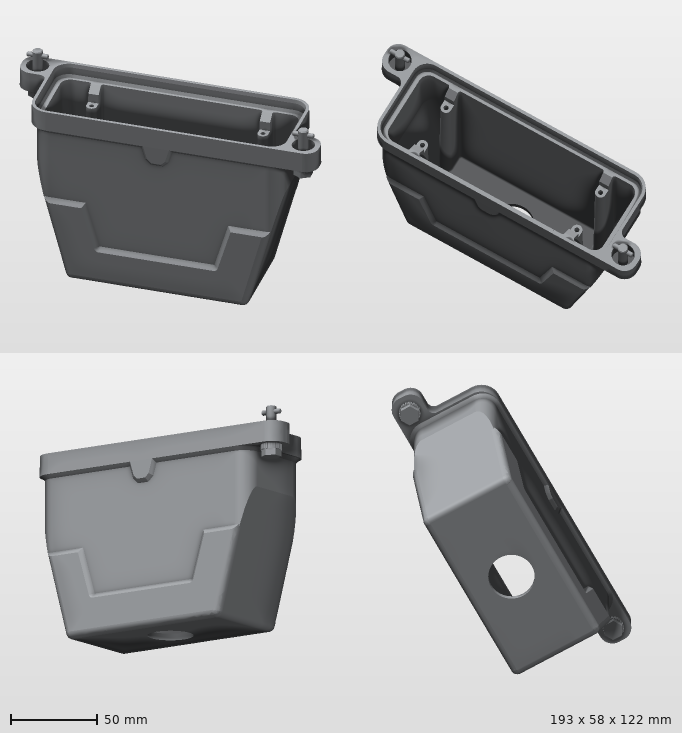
import cadquery as cq
import math

RIM_Z = 111.5
FLANGE_BOTTOM_Z = 99.1
COLLAR_BOTTOM_Z = 96.8
PIN_TOP_Z = 121.95
SLOPE_START_Z = 76.0
APRON_TOP_Z = 52.9
FLOOR_Z = 4.0

FLANGE_LENGTH = 157.0
FLANGE_WIDTH = 58.0
FLANGE_CORNER_R = 11.5
OVERALL_LENGTH = 193.0
FLANGE_DRAFT_ANGLE = 1.0
EAR_WIDTH = 19.4
EAR_CORNER_R = 8.0
EAR_BLEND_R = 4.0
EAR_HOLE_D = 13.5
EAR_FLOOR = 2.0
EAR_Y = (FLANGE_WIDTH - EAR_WIDTH) / 2
SCREW_X = 86.5

BODY_LENGTH = 150.2
BODY_WIDTH = 53.6
BODY_CORNER_R = 9.2
COLLAR_OVERHANG = 2.1
WALL_OVERLAP = 1.0
END_SLOPE_ANGLE = 15.0
END_SLOPE = math.tan(math.radians(END_SLOPE_ANGLE))
APRON_EDGE_R = 4.0
APRON_BOTTOM_R = 3.9
APRON_STEP = (FLANGE_WIDTH - BODY_WIDTH) / 2
BOTTOM_HALF_LENGTH = BODY_LENGTH / 2 - SLOPE_START_Z * END_SLOPE

PANEL_BEVEL_ANGLE = 52.0
PANEL_BOTTOM_Z = 24.7
PANEL_BOTTOM_HALF = 34.8
PANEL_TOP_HALF = 43.2

CATCH_BEVEL_ANGLE = 45.0
CATCH_BOTTOM_Z = 86.2
CATCH_SHOULDER_Z = 89.5
CATCH_TOP_HALF = 10.2
CATCH_SHOULDER_HALF = 7.3
CATCH_BOTTOM_HALF = 3.7

SEAT_Z = 103.0
SEAT_WALL_TOP_Z = 109.2
SEAT_WALL_BOTTOM_Z = 104.7
RIM_THICKNESS = 2.1
SEAT_LEAD_IN = 0.5
SEAT_BEVEL = 1.2
RIM_INNER_R = FLANGE_CORNER_R - RIM_THICKNESS

CAVITY_TOP_HALF_LENGTH = 72.1
CAVITY_TOP_HALF_WIDTH = 23.4
CAVITY_FLOOR_HALF_WIDTH = 22.3
CAVITY_SLOPE_HALF_LENGTH = 70.0
CAVITY_FLOOR_HALF_LENGTH = 52.8
CAVITY_CORNER_R = 6.3
CAVITY_FLOOR_R = 1.0
CABLE_HOLE_D = 27.0

POST_X = 52.0
POST_Y = 13.5
POST_TOP_Z = 93.6
POST_TOP_R = 3.2
POST_DRAFT_ANGLE = 0.65
POST_HOLE_D = 2.9
POST_HOLE_DEPTH = 12.0
RAMP_FOOT_Z = 99.2
RAMP_FOOT_Y = 17.2
RAMP_TOP_Y = 21.8
POST_BLEND_R = 1.5

PIN_D = 6.0
PIN_CHAMFER = 0.6
CROSS_PIN_D = 3.0
CROSS_PIN_LENGTH = 13.0
CROSS_PIN_CHAMFER = 0.5
CROSS_PIN_Z = 118.4
WASHER_D = 12.4
WASHER_HEIGHT = 3.2
WASHER_TEETH = 24
TOOTH_GAP = 0.5
TOOTH_DEPTH = 0.5
HEX_SIDES = 6
HEX_WIDTH = 10.2
HEX_BOTTOM_Z = 92.0


def rounded_rect(half_length, half_width, radius, z):
    """Wire of a rounded rectangle centred on the Z axis."""
    sketch = cq.Sketch().rect(2 * half_length, 2 * half_width).vertices().fillet(radius).reset()
    return sketch.faces().val().outerWire().translate(cq.Vector(0, 0, z))


def ruled_loft(*levels):
    """Stack of straight-sided lofts through (half length, half width, radius, z) levels."""
    wires = [rounded_rect(*level) for level in levels]
    return cq.Workplane(obj=cq.Solid.makeLoft(wires, True))


def with_half_turn_copy(feature):
    """The feature together with its copy turned half a turn about Z."""
    return feature.union(feature.rotate((0, 0, 0), (0, 0, 1), 180))


def beveled_wall_prism(outline, thickness, taper):
    """Prism of an XZ outline standing on the -Y hood wall and growing outward."""
    wall = cq.Workplane("XZ", origin=(0, -BODY_WIDTH / 2, 0))
    return wall.polyline(outline).close().extrude(thickness, taper=taper)


def make_apron():
    """Thick lower shell with sloped ends, cut back to the hood wall where the panels are."""
    top_half_length = BOTTOM_HALF_LENGTH + APRON_TOP_Z * END_SLOPE
    apron = ruled_loft(
        (BOTTOM_HALF_LENGTH, FLANGE_WIDTH / 2, APRON_EDGE_R, 0),
        (top_half_length, FLANGE_WIDTH / 2, APRON_EDGE_R, APRON_TOP_Z),
    )
    apron = apron.faces("<Z").edges().fillet(APRON_BOTTOM_R)
    beyond = BODY_LENGTH
    outline = [
        (-PANEL_BOTTOM_HALF, PANEL_BOTTOM_Z),
        (PANEL_BOTTOM_HALF, PANEL_BOTTOM_Z),
        (PANEL_TOP_HALF, APRON_TOP_Z),
        (beyond, APRON_TOP_Z),
        (beyond, RIM_Z),
        (-beyond, RIM_Z),
        (-beyond, APRON_TOP_Z),
        (-PANEL_TOP_HALF, APRON_TOP_Z),
    ]
    panel = beveled_wall_prism(outline, APRON_STEP, -PANEL_BEVEL_ANGLE)
    return apron.cut(with_half_turn_copy(panel))


def make_upper_walls():
    """Straight hood walls with sloped ends, widening in a collar below the flange."""
    walls = ruled_loft(
        (BODY_LENGTH / 2, BODY_WIDTH / 2, BODY_CORNER_R, APRON_TOP_Z - WALL_OVERLAP),
        (BODY_LENGTH / 2, BODY_WIDTH / 2, BODY_CORNER_R, FLANGE_BOTTOM_Z),
    )
    half = BODY_LENGTH / 2
    profile = [
        (-BOTTOM_HALF_LENGTH, 0),
        (BOTTOM_HALF_LENGTH, 0),
        (half, SLOPE_START_Z),
        (half, RIM_Z),
        (-half, RIM_Z),
        (-half, SLOPE_START_Z),
    ]
    envelope = cq.Workplane("XZ").polyline(profile).close().extrude(BODY_WIDTH, both=True)
    collar = ruled_loft(
        (half, BODY_WIDTH / 2, BODY_CORNER_R, COLLAR_BOTTOM_Z),
        (half + COLLAR_OVERHANG, BODY_WIDTH / 2 + COLLAR_OVERHANG,
         BODY_CORNER_R + COLLAR_OVERHANG, FLANGE_BOTTOM_Z),
    )
    return walls.intersect(envelope).union(collar)


def make_catch():
    """Bevelled catches below the flange on both long sides."""
    outline = [
        (-CATCH_BOTTOM_HALF, CATCH_BOTTOM_Z),
        (CATCH_BOTTOM_HALF, CATCH_BOTTOM_Z),
        (CATCH_SHOULDER_HALF, CATCH_SHOULDER_Z),
        (CATCH_TOP_HALF, FLANGE_BOTTOM_Z),
        (CATCH_TOP_HALF, RIM_Z - APRON_STEP),
        (-CATCH_TOP_HALF, RIM_Z - APRON_STEP),
        (-CATCH_TOP_HALF, FLANGE_BOTTOM_Z),
        (-CATCH_SHOULDER_HALF, CATCH_SHOULDER_Z),
    ]
    catch = beveled_wall_prism(outline, APRON_STEP, CATCH_BEVEL_ANGLE)
    above = cq.Workplane("XY", origin=(0, 0, FLANGE_BOTTOM_Z))
    above = above.rect(FLANGE_LENGTH, FLANGE_WIDTH).extrude(RIM_Z - FLANGE_BOTTOM_Z)
    return with_half_turn_copy(catch.cut(above))


def make_flange():
    """Drafted rim plate with two cupped ears on opposite corners."""
    height = RIM_Z - FLANGE_BOTTOM_Z
    base = cq.Workplane("XY", origin=(0, 0, FLANGE_BOTTOM_Z))
    rim = base.rect(FLANGE_LENGTH, FLANGE_WIDTH).extrude(height).edges("|Z").fillet(FLANGE_CORNER_R)
    inner_x = -FLANGE_LENGTH / 2 + 2 * FLANGE_CORNER_R
    ear_length = inner_x + OVERALL_LENGTH / 2
    ear = base.center(inner_x - ear_length / 2, EAR_Y).rect(ear_length, EAR_WIDTH).extrude(height)
    ear = ear.edges("|Z and <X").fillet(EAR_CORNER_R)
    blank = rim.union(with_half_turn_copy(ear))
    for side in (-1, 1):
        notch = (side * FLANGE_LENGTH / 2, side * (EAR_WIDTH - FLANGE_WIDTH / 2), RIM_Z - height / 2)
        blank = blank.edges(cq.selectors.NearestToPointSelector(notch)).fillet(EAR_BLEND_R)
    outline = blank.faces("<Z").val().outerWire()
    flange = base.newObject([outline]).toPending().extrude(height, taper=FLANGE_DRAFT_ANGLE)
    hole = cq.Workplane("XY", origin=(-SCREW_X, EAR_Y, FLANGE_BOTTOM_Z + EAR_FLOOR))
    hole = hole.circle(EAR_HOLE_D / 2).extrude(height)
    return flange.cut(with_half_turn_copy(hole))


def make_seat():
    """Space of the stepped seat inside the rim."""
    rim_x = FLANGE_LENGTH / 2 - RIM_THICKNESS
    rim_y = FLANGE_WIDTH / 2 - RIM_THICKNESS
    inset = SEAT_LEAD_IN + SEAT_BEVEL
    return ruled_loft(
        (rim_x - inset, rim_y - inset, RIM_INNER_R - inset, SEAT_Z),
        (rim_x - SEAT_LEAD_IN, rim_y - SEAT_LEAD_IN, RIM_INNER_R - SEAT_LEAD_IN, SEAT_WALL_BOTTOM_Z),
        (rim_x - SEAT_LEAD_IN, rim_y - SEAT_LEAD_IN, RIM_INNER_R - SEAT_LEAD_IN, SEAT_WALL_TOP_Z),
        (rim_x, rim_y, RIM_INNER_R, RIM_Z),
    )


def make_post():
    """Drafted post at (+X, +Y) reaching back into the long wall, with a ramp above its top."""
    height = SEAT_Z - FLOOR_Z
    foot_r = POST_TOP_R + (POST_TOP_Z - FLOOR_Z) * math.tan(math.radians(POST_DRAFT_ANGLE))
    back_y = BODY_WIDTH / 2
    post = (
        cq.Workplane("XY", origin=(POST_X, 0, FLOOR_Z))
        .moveTo(-foot_r, back_y)
        .lineTo(-foot_r, POST_Y)
        .threePointArc((0, POST_Y - foot_r), (foot_r, POST_Y))
        .lineTo(foot_r, back_y)
        .close()
        .extrude(height, taper=POST_DRAFT_ANGLE)
    )
    clearance = [
        (0, POST_TOP_Z),
        (RAMP_FOOT_Y, POST_TOP_Z),
        (RAMP_FOOT_Y, RAMP_FOOT_Z),
        (RAMP_TOP_Y, SEAT_Z),
        (0, SEAT_Z),
    ]
    above_post = cq.Workplane("YZ").polyline(clearance).close().extrude(BODY_LENGTH)
    hole = cq.Workplane("XY", origin=(POST_X, POST_Y, POST_TOP_Z))
    hole = hole.circle(POST_HOLE_D / 2).extrude(-POST_HOLE_DEPTH)
    return post.cut(above_post).cut(hole)


def make_cavity():
    """Space inside the hood, narrowing to the floor and leaving room for the screw posts."""
    slope_start_z = FLOOR_Z + (CAVITY_SLOPE_HALF_LENGTH - CAVITY_FLOOR_HALF_LENGTH) / END_SLOPE
    end_profile = [
        (-CAVITY_FLOOR_HALF_WIDTH, FLOOR_Z),
        (CAVITY_FLOOR_HALF_WIDTH, FLOOR_Z),
        (CAVITY_TOP_HALF_WIDTH, SEAT_Z),
        (-CAVITY_TOP_HALF_WIDTH, SEAT_Z),
    ]
    side_profile = [
        (-CAVITY_FLOOR_HALF_LENGTH, FLOOR_Z),
        (CAVITY_FLOOR_HALF_LENGTH, FLOOR_Z),
        (CAVITY_SLOPE_HALF_LENGTH, slope_start_z),
        (CAVITY_TOP_HALF_LENGTH, SEAT_Z),
        (-CAVITY_TOP_HALF_LENGTH, SEAT_Z),
        (-CAVITY_SLOPE_HALF_LENGTH, slope_start_z),
    ]
    trough = cq.Workplane("YZ").polyline(end_profile).close().extrude(BODY_LENGTH, both=True)
    hopper = cq.Workplane("XZ").polyline(side_profile).close().extrude(BODY_WIDTH, both=True)
    hopper = trough.intersect(hopper).edges("not (#Z or |Y)").fillet(CAVITY_CORNER_R)
    hopper = hopper.faces("<Z").edges().fillet(CAVITY_FLOOR_R)
    post = make_post()
    posts = post.union(post.mirror("YZ"))
    posts = posts.union(posts.mirror("XZ"))
    trough = trough.cut(posts)
    for side in (-1, 1):
        post_roots = cq.selectors.BoxSelector(
            (-POST_X - 2 * POST_TOP_R, side * RAMP_TOP_Y, FLOOR_Z + POST_BLEND_R),
            (POST_X + 2 * POST_TOP_R, side * BODY_WIDTH / 2, RAMP_FOOT_Z),
        )
        trough = trough.edges(post_roots).fillet(POST_BLEND_R)
    trough = trough.faces("<Z").edges("not(<X or >X)").fillet(CAVITY_FLOOR_R)
    return trough.intersect(hopper)


def make_screw():
    """Locking screw at the -X ear: serrated hexagon head, pin and cross pin."""
    axis = cq.Workplane("XY", origin=(-SCREW_X, EAR_Y, FLANGE_BOTTOM_Z))
    pin = axis.circle(PIN_D / 2).extrude(PIN_TOP_Z - FLANGE_BOTTOM_Z).faces(">Z").chamfer(PIN_CHAMFER)
    cross_pin = (
        cq.Workplane("YZ", origin=(-SCREW_X, EAR_Y, CROSS_PIN_Z))
        .circle(CROSS_PIN_D / 2)
        .extrude(CROSS_PIN_LENGTH / 2, both=True)
        .faces("<X or >X")
        .chamfer(CROSS_PIN_CHAMFER)
    )
    washer = axis.circle(WASHER_D / 2).extrude(-WASHER_HEIGHT)
    gaps = (
        axis.polarArray(WASHER_D / 2, 0, 360, WASHER_TEETH)
        .rect(2 * TOOTH_DEPTH, TOOTH_GAP)
        .extrude(-WASHER_HEIGHT)
    )
    hexagon = axis.polygon(HEX_SIDES, HEX_WIDTH, circumscribed=True).extrude(HEX_BOTTOM_Z - FLANGE_BOTTOM_Z)
    return pin.union(cross_pin).union(washer.cut(gaps)).union(hexagon)


cable_hole = cq.Workplane("XY").circle(CABLE_HOLE_D / 2).extrude(SEAT_Z)
result = make_apron().union(make_upper_walls()).union(make_catch()).union(make_flange())
result = result.cut(make_seat()).cut(make_cavity()).cut(cable_hole)
result = result.union(with_half_turn_copy(make_screw()))